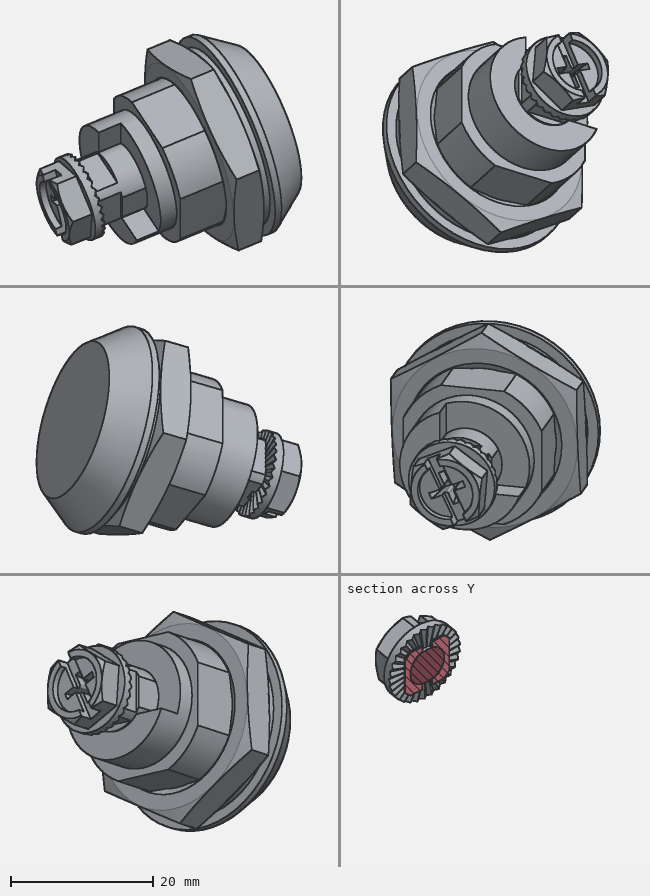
import cadquery as cq
import math


cap_face_diameter = 22.9
cap_diameter = 30.0
cap_rim_at = 5.0
cap_seat_at = 6.05
barrel_diameter = 22.1
barrel_flats = 20.1
barrel_end_at = 18.5
nose_diameter = 17.92
nose_end_at = 24.55
notch_floor_at = 21.03
notch_edge = 3.15

nut_at = 7.02
gasket_diameter = 26.9
nut_end_at = 11.8
nut_across_flats = 27.0
nut_turn = 2.2
nut_face_diameter = 26.85
nut_chamfer_angle = 15.0
nut_bore_diameter = 20.5
nut_countersink_diameter = 22.4
nut_countersink_angle = 30.0

spindle_diameter = 9.93
hub_flats = 8.85
hub_end_at = 24.75
square_width = 7.95
spindle_end_at = 28.28
groove_width = 1.65
groove_depth = 0.47

washer_at = 28.4
washer_end_at = 29.95
washer_diameter = 12.5
tooth_count = 30
tooth_depth = 0.47
first_gap_angle = 1.7

screw_end_at = 33.43
shank_diameter = 6.0
shank_length = 8.02
head_across_flats = 10.0
head_turn = 25.5
head_face_diameter = 9.93
head_chamfer_angle = 30.0
recess_diameter = 8.0
recess_depth = 1.05
slot_width = 1.97
slot_depth = 2.0
cross_width = 0.9
cross_reach = 2.7
cross_floor_reach = 1.85
cross_depth = 4.0
cross_corner_radius = 0.35


def plane_at(distance):
    """Workplane across the axis: local x is X, local y is Z, and extrusion goes toward -Y."""
    return cq.Workplane("XZ").workplane(offset=distance)


def disc(diameter, start, end):
    return plane_at(start).circle(diameter / 2).extrude(end - start)


def bar(width, height, start, end):
    return plane_at(start).rect(width, height).extrude(end - start)


def turned(profile):
    """Revolve (radius, distance) points about the lock axis."""
    points = [(radius, -distance) for radius, distance in profile]
    return cq.Workplane("XY").polyline(points).close().revolve(360, (0, 0, 0), (0, 1, 0))


def turn_about_axis(body, angle):
    """Turn a body from +X toward +Z."""
    return body.rotate((0, 0, 0), (0, -1, 0), angle)


def corner_radius_of(across_flats):
    """Radius through the corners of a hexagon."""
    return across_flats / 2 / math.cos(math.radians(30))


def hexagon(across_flats, start, end):
    return plane_at(start).polygon(6, 2 * corner_radius_of(across_flats)).extrude(end - start)


def chamfer_length(inner_radius, outer_radius, angle):
    """Axial length of a conical chamfer inclined to the end face by an angle."""
    return (outer_radius - inner_radius) * math.tan(math.radians(angle))


def make_housing():
    cap = turned([
        (0, 0),
        (cap_face_diameter / 2, 0),
        (cap_diameter / 2, cap_rim_at),
        (cap_diameter / 2, cap_seat_at),
        (0, cap_seat_at),
    ])
    nose = disc(nose_diameter, barrel_end_at, nose_end_at)
    notch = (
        plane_at(notch_floor_at)
        .center(-notch_edge, -notch_edge)
        .rect(nose_diameter, nose_diameter, centered=False)
        .extrude(nose_end_at - notch_floor_at)
    )
    spindle_bore = disc(spindle_diameter, cap_seat_at, nose_end_at)
    return cap.union(make_barrel()).union(nose).cut(notch).cut(spindle_bore)


def make_barrel():
    """Round barrel with four flats."""
    round_barrel = disc(barrel_diameter, cap_seat_at, barrel_end_at)
    return round_barrel.intersect(bar(barrel_flats, barrel_flats, cap_seat_at, barrel_end_at))


def make_gasket():
    return disc(gasket_diameter, cap_seat_at, nut_at).cut(disc(barrel_diameter, cap_seat_at, nut_at))


def make_nut():
    """Hexagon nut chamfered on both faces, its bore matching the barrel it is screwed on."""
    corner_radius = corner_radius_of(nut_across_flats)
    drop = chamfer_length(nut_face_diameter / 2, corner_radius, nut_chamfer_angle)
    envelope = turned([
        (0, nut_at),
        (nut_face_diameter / 2, nut_at),
        (corner_radius, nut_at + drop),
        (corner_radius, nut_end_at - drop),
        (nut_face_diameter / 2, nut_end_at),
        (0, nut_end_at),
    ])
    bore_radius = nut_bore_diameter / 2
    countersink_radius = nut_countersink_diameter / 2
    countersink_depth = chamfer_length(bore_radius, countersink_radius, nut_countersink_angle)
    bore = turned([
        (0, nut_at),
        (bore_radius, nut_at),
        (bore_radius, nut_end_at - countersink_depth),
        (countersink_radius, nut_end_at),
        (0, nut_end_at),
    ])
    hexagon_block = turn_about_axis(hexagon(nut_across_flats, nut_at, nut_end_at), 30 + nut_turn)
    return hexagon_block.intersect(envelope).cut(bore).cut(make_barrel())


def make_spindle():
    """Hub with two flats, then a square with rounded corners, bored for the screw."""
    hub = disc(spindle_diameter, cap_seat_at, hub_end_at).intersect(
        bar(hub_flats, spindle_diameter, cap_seat_at, hub_end_at)
    )
    square = disc(spindle_diameter, hub_end_at, spindle_end_at).intersect(
        bar(square_width, square_width, hub_end_at, spindle_end_at)
    )
    groove = bar(groove_width, square_width, spindle_end_at - groove_depth, spindle_end_at)
    return hub.union(square).cut(groove).cut(make_shank())


def make_washer():
    """Washer with radial V-shaped gaps on its spindle side, narrowing to nothing at the axis."""
    ring = disc(washer_diameter, washer_at, washer_end_at)
    half_pitch = math.radians(180 / tooth_count)
    rim_radius = washer_diameter / 2 / math.cos(half_pitch)
    gap_half_width = rim_radius * math.tan(half_pitch)
    apex = cq.Vector(0, -washer_at, 0)
    first, second, root = [
        cq.Vector(rim_radius, -washer_at, -gap_half_width),
        cq.Vector(rim_radius, -washer_at, gap_half_width),
        cq.Vector(rim_radius, -washer_at - tooth_depth, 0),
    ]
    triangles = [(first, second, root), (apex, first, second), (apex, second, root), (apex, root, first)]
    faces = [cq.Face.makeFromWires(cq.Wire.makePolygon(points, close=True)) for points in triangles]
    gap = cq.Workplane(cq.Solid.makeSolid(cq.Shell.makeShell(faces)))
    ring = ring.cut(make_shank())
    for index in range(tooth_count):
        ring = ring.cut(turn_about_axis(gap, first_gap_angle + index * 360 / tooth_count))
    return ring


def make_shank():
    return disc(shank_diameter, washer_end_at - shank_length, washer_end_at)


def make_cross_recess():
    """Two crossed arms whose tips slope inward to a flat floor."""
    top_at = screw_end_at - recess_depth
    floor_at = top_at - cross_depth
    arm = (
        cq.Workplane("XY")
        .polyline([
            (-cross_reach, -top_at),
            (cross_reach, -top_at),
            (cross_floor_reach, -floor_at),
            (-cross_floor_reach, -floor_at),
        ])
        .close()
        .extrude(cross_width / 2, both=True)
    )
    cross = arm.union(turn_about_axis(arm, 90))
    inner_corners = cq.selectors.BoxSelector(
        (-cross_width, -screw_end_at, -cross_width), (cross_width, 0, cross_width)
    )
    return cross.edges("|Y").edges(inner_corners).fillet(cross_corner_radius)


def make_screw():
    """Hexagon screw with a round recess, a slot across one pair of flats and a cross recess."""
    corner_radius = corner_radius_of(head_across_flats)
    drop = chamfer_length(head_face_diameter / 2, corner_radius, head_chamfer_angle)
    envelope = turned([
        (0, washer_end_at),
        (corner_radius, washer_end_at),
        (corner_radius, screw_end_at - drop),
        (head_face_diameter / 2, screw_end_at),
        (0, screw_end_at),
    ])
    head = hexagon(head_across_flats, washer_end_at, screw_end_at).intersect(envelope)
    recess = disc(recess_diameter, screw_end_at - recess_depth, screw_end_at)
    slot = bar(slot_width, 2 * head_across_flats, screw_end_at - slot_depth, screw_end_at)
    screw = head.union(make_shank()).cut(recess).cut(slot).cut(make_cross_recess())
    return turn_about_axis(screw, head_turn)


housing = make_housing()
gasket = make_gasket()
nut = make_nut()
spindle = make_spindle()
washer = make_washer()
screw = make_screw()

result = cq.Compound.makeCompound([
    housing.val(),
    gasket.val(),
    nut.val(),
    spindle.val(),
    washer.val(),
    screw.val(),
])